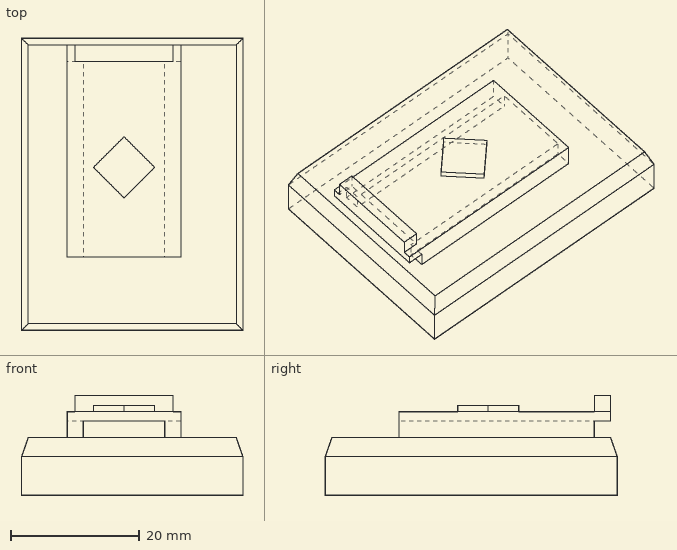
import cadquery as cq

base_width = 34.5
base_length = 45.5
base_wall_height = 6.0
slope_height = 3.0
slope_inset = 1.05
base_top = base_wall_height + slope_height

strip_size = 2.55

board_width = 17.75
board_length = 33.0
board_thickness = 1.45
board_center_x = -1.27
board_back_y = base_length / 2 - slope_inset
board_front_y = board_back_y - board_length
board_bottom = base_top + strip_size
board_top = board_bottom + board_thickness

header_width = 15.3

chip_side = 6.75
chip_thickness = 1.0
chip_angle = 45
chip_center_y = 2.65


def block(width, length, height, center_x, back_y, bottom):
    """Box placed by its X center, its back (+Y) face and its bottom face."""
    return cq.Workplane("XY").box(width, length, height, centered=(True, False, False)).translate(
        (center_x, back_y - length, bottom)
    )


def make_base():
    wall = block(base_width, base_length, base_wall_height, 0, base_length / 2, 0)
    slope = (
        cq.Workplane("XY", origin=(0, 0, base_wall_height))
        .rect(base_width, base_length)
        .workplane(offset=slope_height)
        .rect(base_width - 2 * slope_inset, base_length - 2 * slope_inset)
        .loft(ruled=True)
    )
    return wall.union(slope)


def make_rail(side):
    """Rail flush with one long edge of the board, stopping one strip short of its back."""
    center_x = board_center_x + side * (board_width - strip_size) / 2
    back_y = board_back_y - strip_size
    return block(strip_size, back_y - board_front_y, strip_size, center_x, back_y, base_top)


def make_board():
    return block(board_width, board_length, board_thickness, board_center_x, board_back_y, board_bottom)


def make_header():
    return block(header_width, strip_size, strip_size, board_center_x, board_back_y, board_top)


def make_chip():
    return (
        cq.Workplane("XY")
        .box(chip_side, chip_side, chip_thickness, centered=(True, True, False))
        .rotate((0, 0, 0), (0, 0, 1), chip_angle)
        .translate((board_center_x, chip_center_y, board_top))
    )


result = make_base()
for side in (-1, 1):
    result = result.union(make_rail(side))
result = result.union(make_board()).union(make_header()).union(make_chip())